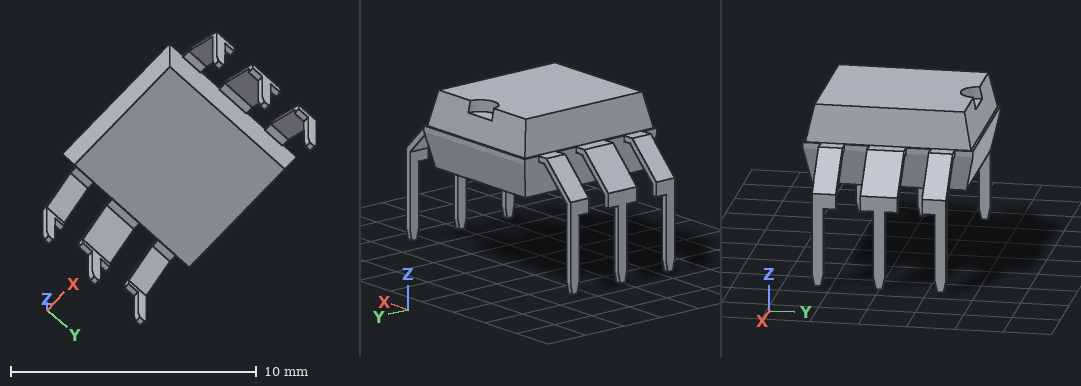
import cadquery as cq
import math


lead_span = 10.41
body_length = 7.05
total_height = 6.99

body_width = 6.37
half_height = 1.53
lead_thickness = 0.25
draft_angle = 12.0
upper_inset = 0.09

flange_top = total_height - half_height
flange_bottom = flange_top - lead_thickness

notch_radius = 0.75
notch_depth = 0.5

lead_pitch = 2.54
bend_run = 1.52
inner_corner_shift = 0.15
shoulder_height = 3.3
stem_width = 0.47
centre_lead_width = 1.53
outer_lead_width = 0.99
tip_width = 0.26
tip_height = 0.48


def drafted_half(base_height, inset, height):
    """Body half narrowing away from the flange; a negative height goes downwards."""
    half = (
        cq.Workplane("XY")
        .rect(body_width - 2 * inset, body_length - 2 * inset)
        .extrude(abs(height), taper=draft_angle)
    )
    if height < 0:
        half = half.mirror("XY")
    return half.translate((0, 0, base_height))


def make_body():
    flange = (
        cq.Workplane("XY", origin=(0, 0, flange_bottom))
        .rect(body_width, body_length)
        .extrude(lead_thickness)
    )
    upper = drafted_half(flange_top, upper_inset, half_height)
    lower = drafted_half(flange_bottom, 0, -half_height)
    return flange.union(upper).union(lower)


def make_notch():
    """Round cutter centred where the notch floor meets the drafted +Y face."""
    rise_to_floor = half_height - notch_depth
    centre_y = body_length / 2 - upper_inset - rise_to_floor * math.tan(math.radians(draft_angle))
    return (
        cq.Workplane("XY", origin=(0, centre_y, total_height - notch_depth))
        .circle(notch_radius)
        .extrude(notch_depth)
    )


def bent_strip():
    """Full-length bar with the bent cross-section shared by the leads on the +X side."""
    root_x = body_width / 2 - upper_inset
    outer_x = lead_span / 2
    inner_x = outer_x - lead_thickness
    bend_x = outer_x - bend_run
    bend_z = flange_top - bend_run
    return (
        cq.Workplane("XZ")
        .polyline([
            (root_x, flange_top),
            (bend_x, flange_top),
            (outer_x, bend_z),
            (outer_x, 0),
            (inner_x, 0),
            (inner_x, bend_z - inner_corner_shift),
            (bend_x - inner_corner_shift, flange_bottom),
            (root_x, flange_bottom),
        ])
        .close()
        .extrude(body_length / 2, both=True)
    )


def lead_blank(stem_y, wide_start, wide_end):
    """Flat lead outline in Y and Z: wide shoulder, narrow stem and tapered tip."""
    stem_start = stem_y - stem_width / 2
    stem_end = stem_y + stem_width / 2
    shoulder = (
        cq.Workplane("YZ")
        .moveTo(wide_start, shoulder_height)
        .lineTo(wide_end, shoulder_height)
        .lineTo(wide_end, total_height)
        .lineTo(wide_start, total_height)
        .close()
        .extrude(lead_span)
    )
    stem = (
        cq.Workplane("YZ")
        .polyline([
            (stem_start, shoulder_height),
            (stem_start, tip_height),
            (stem_y - tip_width / 2, 0),
            (stem_y + tip_width / 2, 0),
            (stem_end, tip_height),
            (stem_end, shoulder_height),
        ])
        .close()
        .extrude(lead_span)
    )
    return shoulder.union(stem)


def make_lead_row():
    """The three leads of the +X side; the outer two have shoulders facing the middle."""
    outer_edge = lead_pitch + stem_width / 2
    centre_blank = lead_blank(0, -centre_lead_width / 2, centre_lead_width / 2)
    outer_blank = lead_blank(lead_pitch, outer_edge - outer_lead_width, outer_edge)
    blanks = centre_blank.union(outer_blank).union(outer_blank.mirror("XZ"))
    return bent_strip().intersect(blanks)


lead_row = make_lead_row()
package = make_body().cut(make_notch())
result = package.union(lead_row).union(lead_row.mirror("YZ"))